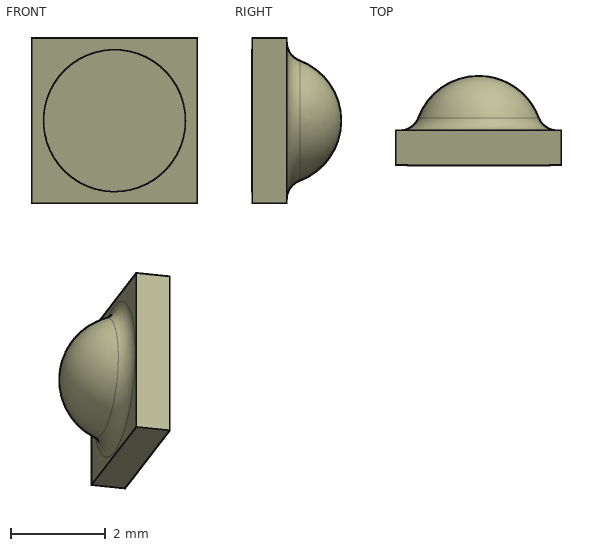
import cadquery as cq
import math

side = 3.5
overall_depth = 1.9
plate_thickness = 0.74

pad_radius = 1.5
pad_height = 0.01

dome_radius = 1.36
blend_radius = 0.41

plate_front = pad_height
plate_back = plate_front + plate_thickness
dome_center = overall_depth - dome_radius

blend_center_y = plate_back + blend_radius
center_distance = dome_radius + blend_radius
blend_angle = math.asin((blend_center_y - dome_center) / center_distance)
blend_center_x = center_distance * math.cos(blend_angle)


def dome_point(angle):
    return (dome_radius * math.cos(angle), dome_center + dome_radius * math.sin(angle))


def blend_point(angle):
    return (
        blend_center_x - blend_radius * math.cos(angle),
        blend_center_y - blend_radius * math.sin(angle),
    )


def make_plate():
    return cq.Workplane("XY").box(side, plate_thickness, side).translate(
        (0, plate_front + plate_thickness / 2, 0)
    )


def make_pad():
    pad_start = plate_front + plate_thickness / 2
    return cq.Workplane("XZ", origin=(0, pad_start, 0)).circle(pad_radius).extrude(pad_start)


def make_lens():
    right_angle = math.pi / 2
    lens_root = plate_front + plate_thickness / 2
    profile = (
        cq.Workplane("XY")
        .moveTo(0, lens_root)
        .lineTo(blend_center_x, lens_root)
        .lineTo(blend_center_x, plate_back)
        .threePointArc(blend_point((right_angle + blend_angle) / 2), dome_point(blend_angle))
        .threePointArc(dome_point((right_angle + blend_angle) / 2), (0, overall_depth))
        .close()
    )
    return profile.revolve(360, (0, 0, 0), (0, 1, 0))


result = make_plate().union(make_pad()).union(make_lens())